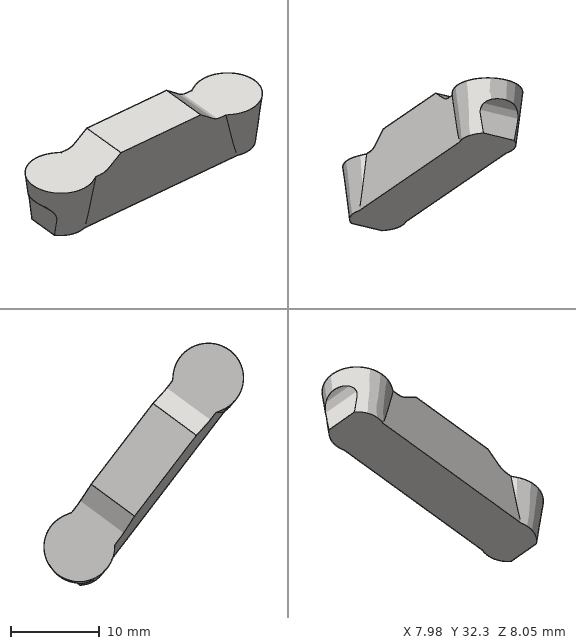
import cadquery as cq
import math

length = 32.25
height = 8.05
body_width = 6.13

head_radius = 4.0
head_base_radius = 3.23
head_center_y = length / 2 - head_radius
neck_angle = 30.0
neck_inner_x = 2.58

plateau_half_length = 5.8
ramp_foot_y = 8.05
ramp_fillet_radius = 1.95
land_start_y = 10.55
land_height = 6.4
head_face_height = 6.42
tip_height = 6.5

undercut_wall_y = 14.65
undercut_arc_start = 2.32
undercut_radius = 1.97
undercut_angle = 69.0

head_taper = math.degrees(math.atan((head_radius - head_base_radius) / tip_height))


def make_body():
    """Straight bar that joins the two head centers."""
    return cq.Workplane("XY").box(body_width, 2 * head_center_y, height, centered=(True, True, False))


def make_head():
    """Tapered round head at +Y with tangent flanks narrowing toward the body."""
    angle = math.radians(neck_angle)
    tangent_x = head_radius * math.cos(angle)
    tangent_y = head_center_y - head_radius * math.sin(angle)
    inner_y = tangent_y - (tangent_x - neck_inner_x) / math.tan(angle)
    return (
        cq.Workplane("XY", origin=(0, 0, tip_height))
        .moveTo(-neck_inner_x, inner_y)
        .lineTo(neck_inner_x, inner_y)
        .lineTo(tangent_x, tangent_y)
        .threePointArc((0, length / 2), (-tangent_x, tangent_y))
        .close()
        .extrude(-tip_height, taper=head_taper)
    )


def make_side_profile():
    """Side outline, swept across the full width, that bounds the top face."""
    half_top = [
        (plateau_half_length, height),
        (ramp_foot_y, land_height),
        (land_start_y, land_height),
        (head_center_y, head_face_height),
        (length / 2, tip_height),
        (length / 2, 0),
    ]
    mirrored = [(-y, z) for y, z in reversed(half_top)]
    profile = cq.Workplane("YZ").polyline(half_top + mirrored).close().extrude(head_radius, both=True)
    margin = 0.15
    for side in (-1, 1):
        foot = cq.selectors.BoxSelector(
            (-margin, side * ramp_foot_y - margin, land_height - margin),
            (margin, side * ramp_foot_y + margin, land_height + margin),
        )
        profile = profile.edges(foot).fillet(ramp_fillet_radius)
    return profile


def make_undercut():
    """Relief at the +Y tip: a vertical wall that curves outward under the cutting edge."""
    def arc_point(degrees):
        angle = math.radians(degrees)
        return (
            undercut_wall_y + undercut_radius * (1 - math.cos(angle)),
            undercut_arc_start + undercut_radius * math.sin(angle),
        )

    arc_end = arc_point(undercut_angle)
    outer_y = length / 2
    return (
        cq.Workplane("YZ")
        .moveTo(undercut_wall_y, 0)
        .lineTo(undercut_wall_y, undercut_arc_start)
        .threePointArc(arc_point(undercut_angle / 2), arc_end)
        .lineTo(outer_y, arc_end[1])
        .lineTo(outer_y, 0)
        .close()
        .extrude(head_radius, both=True)
    )


head = make_head().cut(make_undercut())
result = make_body().union(head).union(head.mirror("XZ")).intersect(make_side_profile())